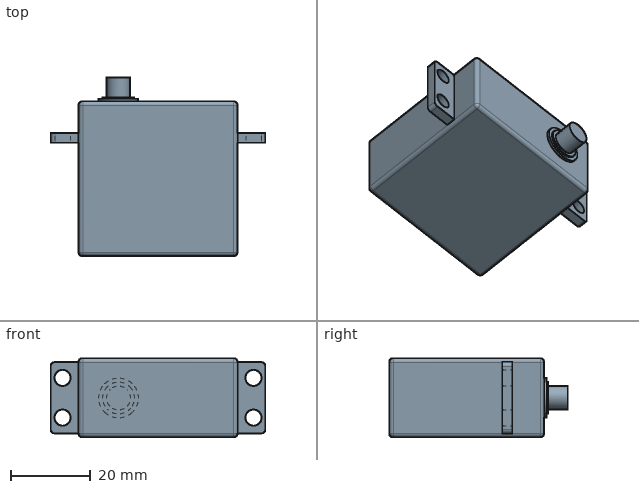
import cadquery as cq

case_width = 40.0
case_depth = 39.0
case_height = 20.0
edge_radius = 1.0

flange_width = 54.0
flange_height = 18.0
flange_thickness = 2.5
flange_setback = 8.0
hole_diameter = 4.0
hole_spacing_x = 48.0
hole_spacing_z = 10.0

shaft_x = -10.0
shaft_diameter = 6.0
shaft_length = 6.0
wide_collar_diameter = 10.0
wide_collar_length = 0.65
narrow_collar_diameter = 8.0
narrow_collar_length = 1.0


def make_case():
    return (
        cq.Workplane("XY")
        .box(case_width, case_depth, case_height)
        .edges()
        .fillet(edge_radius)
        .translate((0, -case_depth / 2, 0))
    )


def make_flange():
    plate = (
        cq.Workplane("XY")
        .box(flange_width, flange_thickness, flange_height)
        .edges("|Y")
        .fillet(edge_radius)
    )
    drilled = (
        plate.faces("<Y")
        .workplane(centerOption="CenterOfBoundBox")
        .rect(hole_spacing_x, hole_spacing_z, forConstruction=True)
        .vertices()
        .hole(hole_diameter)
    )
    return drilled.translate((0, -flange_setback - flange_thickness / 2, 0))


def make_cylinder(diameter, length):
    """Cylinder on the shaft axis, from inside the case to length beyond its face."""
    root_depth = edge_radius
    return (
        cq.Workplane("XZ", origin=(shaft_x, -root_depth, 0))
        .circle(diameter / 2)
        .extrude(-(root_depth + length))
    )


result = make_case().union(make_flange())
for diameter, length in (
    (wide_collar_diameter, wide_collar_length),
    (narrow_collar_diameter, narrow_collar_length),
    (shaft_diameter, shaft_length),
):
    result = result.union(make_cylinder(diameter, length))